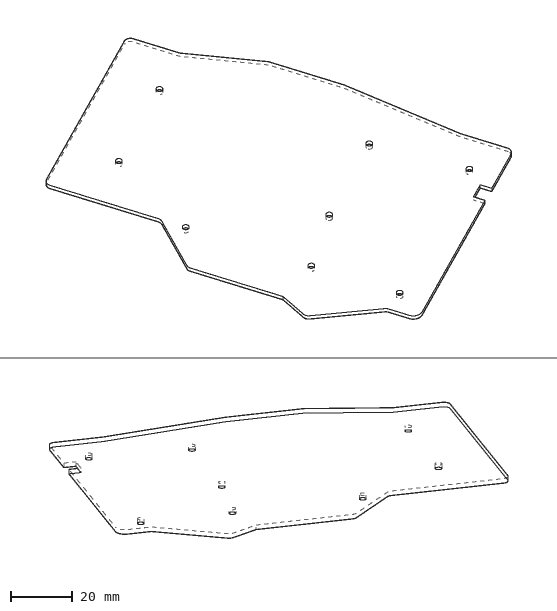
import cadquery as cq

length = 134.8
width = 98.3
thickness = 1.6

left_top_y = 90.7
right_top_y = 93.0
left_bottom_y = 20.9
right_bottom_y = 13.0
lower_flat_y = 4.9

corner_radius = 2.2
lower_right_radius = 3.2
bend_radius = 2.2

sharp_tip = (100.7, -0.3)

notch_depth = 4.0
notch_bottom_y = 69.0
notch_height = 5.7

hole_diameter = 2.2
left_hole_x = 18.6
middle_hole_x = 90.6
right_hole_x = 124.8
lower_hole_y = left_bottom_y
hole_centers = [
    (left_hole_x, 73.6),
    (left_hole_x, 39.4),
    (middle_hole_x, 77.7),
    (middle_hole_x, 43.8),
    (right_hole_x, 79.8),
    (49.7, lower_hole_y),
    (93.8, lower_hole_y),
    (right_hole_x, lower_hole_y),
]

lower_left_corner = (0, left_bottom_y)
upper_left_corner = (0, left_top_y)
upper_right_corner = (length, right_top_y)
lower_right_corner = (length, right_bottom_y)
slope_top = (41.0, left_bottom_y)
slope_bottom = (57.2, lower_flat_y)
tip_right_bend = (123.6, right_bottom_y)

outline = [
    lower_left_corner,
    upper_left_corner,
    (18.6, left_top_y),
    (46.6, width),
    (73.0, width),
    (116.2, right_top_y),
    upper_right_corner,
    lower_right_corner,
    tip_right_bend,
    sharp_tip,
    (90.6, lower_flat_y),
    slope_bottom,
    slope_top,
]


def round_corner(body, corner, radius):
    """Round the upright edge standing on one corner of the outline."""
    x, y = corner
    edge = cq.selectors.NearestToPointSelector((x, y, thickness / 2))
    return body.edges("|Z").edges(edge).fillet(radius)


plate = cq.Workplane("XY").polyline(outline).close().extrude(thickness)

for corner in (lower_left_corner, upper_left_corner, upper_right_corner):
    plate = round_corner(plate, corner, corner_radius)
plate = round_corner(plate, lower_right_corner, lower_right_radius)
for corner in (slope_top, slope_bottom, sharp_tip, tip_right_bend):
    plate = round_corner(plate, corner, bend_radius)

notch = cq.Workplane("XY").box(notch_depth, notch_height, thickness, centered=False)
notch = notch.translate((length - notch_depth, notch_bottom_y, 0))

holes = cq.Workplane("XY").pushPoints(hole_centers).circle(hole_diameter / 2).extrude(thickness)

result = plate.cut(notch).cut(holes)